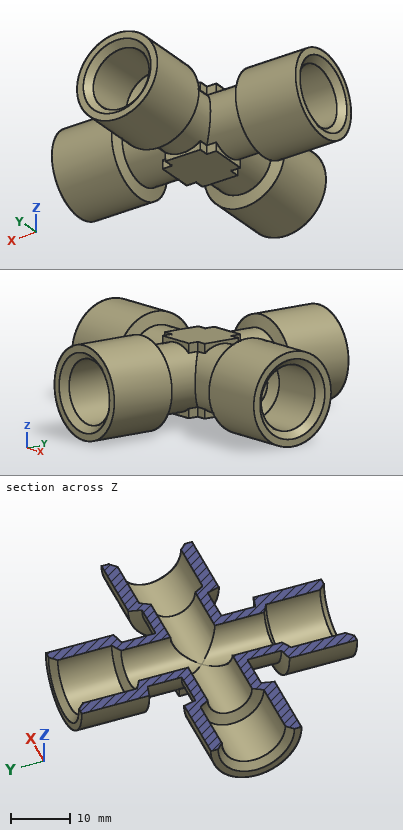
import cadquery as cq
import math

span = 50.0
half_span = span / 2

socket_diameter = 16.5
socket_length = 12.9
shoulder_length = 0.6
neck_diameter = 12.0

through_diameter = 8.0
socket_bore_diameter = 11.45
socket_bore_depth = 11.0
drill_point_angle = 120.0
floor_step = (socket_bore_diameter - through_diameter) / 2
drill_point_depth = floor_step / math.tan(math.radians(drill_point_angle / 2))
mouth_diameter = 13.85
mouth_depth = (mouth_diameter - socket_bore_diameter) / 2

pad_length = 11.0
pad_width = 7.15
pad_height = 13.0


def revolved_arm(profile):
    """Revolve (radius, distance from center) points into an arm along +X."""
    points = [(distance, radius) for radius, distance in profile]
    return cq.Workplane("XY").polyline(points).close().revolve(360, (0, 0, 0), (1, 0, 0))


def four_arms(arm):
    """Repeat an arm every 90 degrees about Z."""
    arms = arm
    for turn in range(1, 4):
        arms = arms.union(arm.rotate((0, 0, 0), (0, 0, 1), 90 * turn))
    return arms


def arm_body():
    shoulder_start = half_span - socket_length
    return revolved_arm([
        (0, 0),
        (neck_diameter / 2, 0),
        (neck_diameter / 2, shoulder_start),
        (socket_diameter / 2, shoulder_start + shoulder_length),
        (socket_diameter / 2, half_span),
        (0, half_span),
    ])


def arm_bore():
    bore_floor = half_span - socket_bore_depth
    return revolved_arm([
        (0, 0),
        (through_diameter / 2, 0),
        (through_diameter / 2, bore_floor - drill_point_depth),
        (socket_bore_diameter / 2, bore_floor),
        (socket_bore_diameter / 2, half_span - mouth_depth),
        (mouth_diameter / 2, half_span),
        (0, half_span),
    ])


def hub_pad():
    bar_x = cq.Workplane("XY").box(pad_length, pad_width, pad_height)
    bar_y = cq.Workplane("XY").box(pad_width, pad_length, pad_height)
    return bar_x.union(bar_y)


result = four_arms(arm_body()).union(hub_pad()).cut(four_arms(arm_bore()))